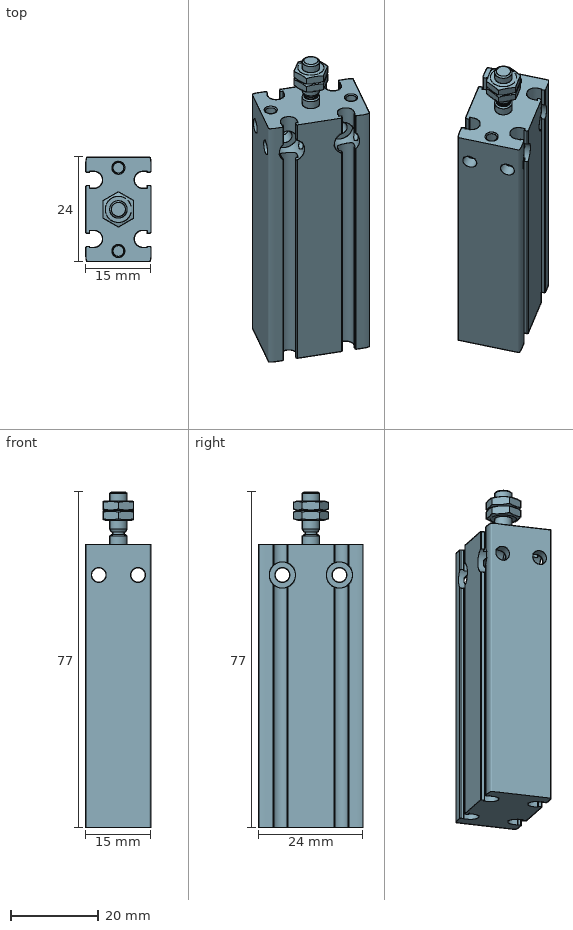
import cadquery as cq
import math

housing_width = 15.0
housing_depth = 24.0
housing_height = 65.0
overall_height = 77.0

corner_run = 1.4
corner_arc_radius = 4.2
corner_fillet = 0.3

slot_mouth_offset = 7.0
slot_mouth_width = 3.0
slot_lip = 0.9
slot_mouth_chamfer = 0.2
slot_bulb_offset = 6.8
slot_bulb_diameter = 3.85
slot_depth = 3.85

cross_hole_diameter = 3.3
cross_hole_drop = 7.0
side_hole_offset = 6.55
counterbore_diameter = 6.0
counterbore_depth = 6.0
front_hole_offset = 4.505

top_hole_offset = 9.55
top_hole_diameter = 2.5
top_hole_mouth_diameter = 3.0
top_hole_depth = 6.0

rod_diameter = 4.0
neck_diameter = 2.7
neck_bottom_drop = 9.8
thread_end_drop = 8.5
thread_end_chamfer_height = 0.7
chamfer_end_diameter = 3.2
rod_chamfer_height = 0.3

nut_count = 2
nut_across_flats = 7.0
nut_height = 2.2
nut_face_diameter = 6.0
nut_chamfer_angle = 18.0
nut_top_drop = 2.0

half_width = housing_width / 2
half_depth = housing_depth / 2


def housing_blank():
    """Extruded rectangle whose wide sides curve inward just before the long corners."""
    arc_start = half_depth - corner_run
    arc_angle = math.asin(corner_run / corner_arc_radius)
    inset = corner_arc_radius * (1 - math.cos(arc_angle))
    mid_y = arc_start + corner_arc_radius * math.sin(arc_angle / 2)
    mid_x = half_width - corner_arc_radius * (1 - math.cos(arc_angle / 2))
    end_x = half_width - inset
    outline = (
        cq.Workplane("XY")
        .moveTo(half_width, -arc_start)
        .lineTo(half_width, arc_start)
        .threePointArc((mid_x, mid_y), (end_x, half_depth))
        .lineTo(-end_x, half_depth)
        .threePointArc((-mid_x, mid_y), (-half_width, arc_start))
        .lineTo(-half_width, -arc_start)
        .threePointArc((-mid_x, -mid_y), (-end_x, -half_depth))
        .lineTo(end_x, -half_depth)
        .threePointArc((mid_x, -mid_y), (half_width, -arc_start))
        .close()
    )
    return outline.extrude(housing_height)


def slot_cutter():
    """Undercut slot of the +X, +Y quadrant: chamfered mouth, lips and a round-bottomed bulb."""
    bulb_radius = slot_bulb_diameter / 2
    bulb_outer_x = half_width - slot_lip
    bulb_inner_x = half_width - slot_depth
    bulb_center_x = bulb_inner_x + bulb_radius
    bulb_low = slot_bulb_offset - bulb_radius
    bulb_high = slot_bulb_offset + bulb_radius
    mouth_low = slot_mouth_offset - slot_mouth_width / 2
    mouth_high = slot_mouth_offset + slot_mouth_width / 2
    outline = (
        cq.Workplane("XY")
        .moveTo(half_width, mouth_low - slot_mouth_chamfer)
        .lineTo(half_width - slot_mouth_chamfer, mouth_low)
        .lineTo(bulb_outer_x, mouth_low)
        .lineTo(bulb_outer_x, bulb_low)
        .lineTo(bulb_center_x, bulb_low)
        .threePointArc((bulb_inner_x, slot_bulb_offset), (bulb_center_x, bulb_high))
        .lineTo(bulb_outer_x, bulb_high)
        .lineTo(bulb_outer_x, mouth_high)
        .lineTo(half_width - slot_mouth_chamfer, mouth_high)
        .lineTo(half_width, mouth_high + slot_mouth_chamfer)
        .close()
    )
    return outline.extrude(housing_height)


def side_hole_cutter(y):
    """Hole through the width at y, counterbored from both wide sides."""
    z = housing_height - cross_hole_drop
    floor_half = half_width - counterbore_depth
    hole = cq.Workplane("YZ").center(y, z).circle(cross_hole_diameter / 2).extrude(half_width, both=True)
    for side in (-1, 1):
        counterbore = (
            cq.Workplane("YZ", origin=(side * floor_half, 0, 0))
            .center(y, z)
            .circle(counterbore_diameter / 2)
            .extrude(side * counterbore_depth)
        )
        hole = hole.union(counterbore)
    return hole


def front_hole_cutter(x):
    """Plain hole through the depth at x."""
    z = housing_height - cross_hole_drop
    return cq.Workplane("XZ").center(x, z).circle(cross_hole_diameter / 2).extrude(half_depth, both=True)


def top_hole_cutter(y):
    """Blind hole in the top face with a 45 degree countersunk mouth."""
    hole_radius = top_hole_diameter / 2
    mouth_radius = top_hole_mouth_diameter / 2
    countersink = mouth_radius - hole_radius
    half_section = (
        cq.Workplane("XZ")
        .moveTo(0, -top_hole_depth)
        .lineTo(hole_radius, -top_hole_depth)
        .lineTo(hole_radius, -countersink)
        .lineTo(mouth_radius, 0)
        .lineTo(0, 0)
        .close()
    )
    cutter = half_section.revolve(360, (0, 0, 0), (0, 1, 0))
    return cutter.translate((0, y, housing_height))


def make_housing():
    housing = housing_blank().edges("|Z and (>Y or <Y)").fillet(corner_fillet)
    slot = slot_cutter()
    for mirrored in (slot, slot.mirror("YZ")):
        housing = housing.cut(mirrored).cut(mirrored.mirror("XZ"))
    for side in (-1, 1):
        housing = housing.cut(side_hole_cutter(side * side_hole_offset))
        housing = housing.cut(front_hole_cutter(side * front_hole_offset))
        housing = housing.cut(top_hole_cutter(side * top_hole_offset))
    return housing


def make_rod():
    """Turned rod standing on the housing, with a relief neck below the threaded end."""
    rod_radius = rod_diameter / 2
    neck_radius = neck_diameter / 2
    chamfer_end_radius = chamfer_end_diameter / 2
    neck_bottom = overall_height - neck_bottom_drop
    thread_end = overall_height - thread_end_drop
    neck_top = thread_end - thread_end_chamfer_height
    half_section = (
        cq.Workplane("XZ")
        .moveTo(0, housing_height)
        .lineTo(rod_radius, housing_height)
        .lineTo(rod_radius, neck_bottom - rod_chamfer_height)
        .lineTo(chamfer_end_radius, neck_bottom)
        .lineTo(neck_radius, neck_bottom)
        .lineTo(neck_radius, neck_top)
        .lineTo(chamfer_end_radius, neck_top)
        .lineTo(rod_radius, thread_end)
        .lineTo(rod_radius, overall_height - rod_chamfer_height)
        .lineTo(chamfer_end_radius, overall_height)
        .lineTo(0, overall_height)
        .close()
    )
    return half_section.revolve(360, (0, 0, 0), (0, 1, 0))


def make_nut(base_z):
    """Hexagon nut with conically chamfered corners on both faces; two flats face +X and -X."""
    corner_radius = nut_across_flats / math.sqrt(3)
    face_radius = nut_face_diameter / 2
    corner_drop = (corner_radius - face_radius) * math.tan(math.radians(nut_chamfer_angle))
    hexagon = (
        cq.Workplane("XY")
        .polygon(6, 2 * corner_radius)
        .extrude(nut_height)
        .rotate((0, 0, 0), (0, 0, 1), 90)
    )
    chamfer_envelope = (
        cq.Workplane("XZ")
        .moveTo(0, 0)
        .lineTo(face_radius, 0)
        .lineTo(corner_radius, corner_drop)
        .lineTo(corner_radius, nut_height - corner_drop)
        .lineTo(face_radius, nut_height)
        .lineTo(0, nut_height)
        .close()
        .revolve(360, (0, 0, 0), (0, 1, 0))
    )
    bore = cq.Workplane("XY").circle(rod_diameter / 2).extrude(nut_height)
    return hexagon.intersect(chamfer_envelope).cut(bore).translate((0, 0, base_z))


housing = make_housing()
rod = make_rod()
nuts = []
for index in range(nut_count):
    nut_base = overall_height - nut_top_drop - (index + 1) * nut_height
    nuts.append(make_nut(nut_base))

result = cq.Compound.makeCompound([housing.val(), rod.val(), *[nut.val() for nut in nuts]])